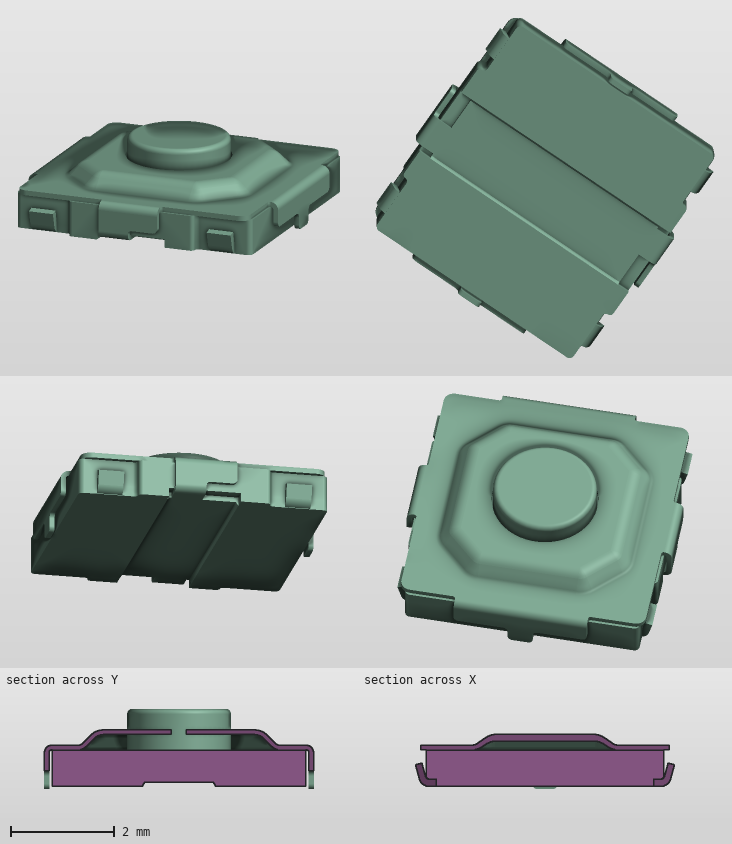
import cadquery as cq
import math


S45 = math.sqrt(0.5)

span = 5.2
sheet = 0.1
bend_radius = 0.15

base_half = 2.45
base_height = 0.7
end_wall_half = 2.3
step_x = 1.3
base_corner_radius = 0.1

groove_half = 0.66
groove_height = 0.075
notch_half = 0.705
notch_end = 2.2

plate_half = 2.4
plate_corner_radius = 0.2
dome_flat_half = 1.47
dome_flat_side_half = 0.965
dome_rise = 0.295
dome_top_radius = 0.31
dome_root_radius = 0.105

leg_edge_height = 0.3
leg_corner_radius = 0.1
side_leg_half = 1.305
side_tab_half = 0.245
side_tab_drop = 0.05
end_leg_half = 0.61

button_diameter = 2.0
button_hole_diameter = 2.06
button_fillet = 0.1
button_top = 1.5

terminal_x = 1.85
terminal_width = 0.5
terminal_sheet = 0.135
terminal_radius = 0.2
terminal_lean = math.radians(15)
terminal_tip_y = 2.5
terminal_tip_z = 0.42
terminal_tail_y = 2.1

leg_outer = span / 2
leg_inner = leg_outer - sheet
bend_start = leg_outer - bend_radius
bend_inner_radius = bend_radius - sheet
plate_top = base_height + sheet
dome_top = plate_top + dome_rise
foot_top = groove_height + sheet


def arc_point(center, radius, degrees):
    """Point on a circle, used for arc ends and midpoints."""
    angle = math.radians(degrees)
    return (center[0] + radius * math.cos(angle), center[1] + radius * math.sin(angle))


def base_outline_quarter():
    """Front-right quarter of the base, with the S-step and the rounded corner."""
    step_radius = (base_half - end_wall_half) / 2
    step_mid = (base_half + end_wall_half) / 2
    outer_center = (step_x - step_radius, -step_mid)
    inner_center = (step_x + step_radius, -step_mid)
    corner_center = (base_half - base_corner_radius, -end_wall_half + base_corner_radius)
    return (
        cq.Workplane("XY")
        .moveTo(0, 0)
        .lineTo(0, -base_half)
        .lineTo(outer_center[0], -base_half)
        .threePointArc(arc_point(outer_center, step_radius, -45), (step_x, -step_mid))
        .threePointArc(arc_point(inner_center, step_radius, 135), (inner_center[0], -end_wall_half))
        .lineTo(corner_center[0], -end_wall_half)
        .threePointArc(arc_point(corner_center, base_corner_radius, -45), (base_half, corner_center[1]))
        .lineTo(base_half, 0)
        .close()
    )


def make_base(terminals):
    quarter = base_outline_quarter().extrude(base_height)
    half = quarter.union(quarter.mirror("YZ"))
    base = half.union(half.mirror("XZ"))
    groove = (
        cq.Workplane("XZ")
        .polyline([
            (-notch_half, 0),
            (notch_half, 0),
            (groove_half, groove_height),
            (-groove_half, groove_height),
        ])
        .close()
        .extrude(base_half, both=True)
    )
    base = base.cut(groove)
    notch_depth = base_half - notch_end
    for side in (-1, 1):
        notch = cq.Workplane("XY").box(2 * notch_half, notch_depth, foot_top, centered=(True, True, False))
        base = base.cut(notch.translate((0, side * (notch_end + notch_depth / 2), 0)))
    for terminal in terminals:
        base = base.cut(terminal)
    return base


slope_run = dome_rise - (dome_top_radius + dome_root_radius) * (1 - S45)
dome_spread = (dome_top_radius + dome_root_radius) * S45 + slope_run


def dome_profile(start):
    """Section of the dome wall, from the flat top at x = start outward to the dome foot."""
    top_center = (start, dome_top - dome_top_radius)
    root_center = (start + dome_spread, plate_top + dome_root_radius)
    top_inner_radius = dome_top_radius - sheet
    root_inner_radius = dome_root_radius + sheet
    return (
        cq.Workplane("XZ")
        .moveTo(start, dome_top)
        .threePointArc(
            arc_point(top_center, dome_top_radius, 67.5), arc_point(top_center, dome_top_radius, 45)
        )
        .lineTo(*arc_point(root_center, dome_root_radius, 225))
        .threePointArc(arc_point(root_center, dome_root_radius, 247.5), (root_center[0], plate_top))
        .lineTo(root_center[0], base_height)
        .threePointArc(
            arc_point(root_center, root_inner_radius, 247.5), arc_point(root_center, root_inner_radius, 225)
        )
        .lineTo(*arc_point(top_center, top_inner_radius, 45))
        .threePointArc(arc_point(top_center, top_inner_radius, 67.5), (start, dome_top - sheet))
        .close()
    )


def dome_octagon(z):
    """Outline of the flat dome top."""
    a, b = dome_flat_half, dome_flat_side_half
    points = [(a, -b), (a, b), (b, a), (-b, a), (-a, b), (-a, -b), (-b, -a), (b, -a)]
    return cq.Workplane("XY").workplane(offset=z).polyline(points).close()


def make_dome():
    """Flat octagonal top, eight sloping walls and eight round corners between them."""
    dome = dome_octagon(dome_top - sheet).extrude(sheet)
    long_side = (dome_flat_half, dome_flat_side_half)
    short_side = ((dome_flat_half + dome_flat_side_half) * S45, (dome_flat_half - dome_flat_side_half) * S45)
    for index in range(8):
        distance, half_length = short_side if index % 2 else long_side
        wall = dome_profile(distance).extrude(half_length, both=True)
        corner = dome_profile(0).revolve(45, (0, 0), (0, 1)).translate((distance, half_length, 0))
        for piece in (wall, corner):
            dome = dome.union(piece.rotate((0, 0, 0), (0, 0, 1), 45 * index))
    return dome


def neck(half_width):
    """Front plate extension that carries a leg, with fillets into the plate edge."""
    fillet = bend_start - plate_half
    root = half_width + fillet
    return (
        cq.Workplane("XY")
        .workplane(offset=base_height)
        .moveTo(-root, -plate_half)
        .threePointArc(arc_point((-root, -bend_start), fillet, 45), (-half_width, -bend_start))
        .lineTo(half_width, -bend_start)
        .threePointArc(arc_point((root, -bend_start), fillet, 135), (root, -plate_half))
        .close()
        .extrude(sheet)
    )


def upper_bend():
    """Start of a front leg section: the bend from the plate down the outer face."""
    center = (-bend_start, plate_top - bend_radius)
    return (
        cq.Workplane("YZ")
        .moveTo(-bend_start, base_height)
        .lineTo(-bend_start, plate_top)
        .threePointArc(arc_point(center, bend_radius, 135), (-leg_outer, center[1]))
    )


def close_at_upper_bend(section):
    """Finish a leg section up its inner face and around the inside of the bend."""
    center = (-bend_start, plate_top - bend_radius)
    return (
        section.lineTo(-leg_inner, center[1])
        .threePointArc(arc_point(center, bend_inner_radius, 135), (-bend_start, base_height))
        .close()
    )


def side_leg():
    """Straight leg with a narrow centre tab, built at the front."""
    section = upper_bend().lineTo(-leg_outer, -side_tab_drop).lineTo(-leg_inner, -side_tab_drop)
    strip = close_at_upper_bend(section).extrude(side_leg_half, both=True)
    r = leg_corner_radius
    tip_center = (side_tab_half - r, r - side_tab_drop)
    root_center = (side_tab_half + r, leg_edge_height - r)
    corner_center = (side_leg_half - r, leg_edge_height + r)
    half_outline = (
        cq.Workplane("XZ")
        .moveTo(0, plate_top)
        .lineTo(0, -side_tab_drop)
        .lineTo(tip_center[0], -side_tab_drop)
        .threePointArc(arc_point(tip_center, r, -45), (side_tab_half, tip_center[1]))
        .lineTo(side_tab_half, root_center[1])
        .threePointArc(arc_point(root_center, r, 135), (root_center[0], leg_edge_height))
        .lineTo(corner_center[0], leg_edge_height)
        .threePointArc(arc_point(corner_center, r, -45), (side_leg_half, corner_center[1]))
        .lineTo(side_leg_half, plate_top)
        .close()
        .extrude(leg_outer)
    )
    outline = half_outline.union(half_outline.mirror("YZ"))
    return strip.intersect(outline)


def end_leg():
    """Front leg whose -X half bends under into a foot that reaches into the base notch."""
    foot_center = (-bend_start, groove_height + bend_radius)
    section = (
        upper_bend()
        .lineTo(-leg_outer, foot_center[1])
        .threePointArc(arc_point(foot_center, bend_radius, 225), (-bend_start, groove_height))
        .lineTo(-notch_end, groove_height)
        .lineTo(-notch_end, foot_top)
        .lineTo(-bend_start, foot_top)
        .threePointArc(arc_point(foot_center, bend_inner_radius, 225), (-leg_inner, foot_center[1]))
    )
    strip = close_at_upper_bend(section).extrude(end_leg_half, both=True)
    root_radius = leg_edge_height - foot_center[1]
    root_center = (root_radius, foot_center[1])
    corner_center = (end_leg_half - leg_corner_radius, leg_edge_height + leg_corner_radius)
    outline = (
        cq.Workplane("XZ")
        .moveTo(-end_leg_half, plate_top)
        .lineTo(-end_leg_half, 0)
        .lineTo(0, 0)
        .lineTo(0, root_center[1])
        .threePointArc(arc_point(root_center, root_radius, 135), (root_radius, leg_edge_height))
        .lineTo(corner_center[0], leg_edge_height)
        .threePointArc(arc_point(corner_center, leg_corner_radius, -45), (end_leg_half, corner_center[1]))
        .lineTo(end_leg_half, plate_top)
        .close()
        .extrude(leg_outer)
    )
    return strip.intersect(outline)


def make_cover():
    dome_opening = dome_octagon(base_height).offset2D(dome_spread, "arc").extrude(sheet)
    cover = (
        cq.Workplane("XY")
        .workplane(offset=base_height)
        .rect(2 * plate_half, 2 * plate_half)
        .extrude(sheet)
        .edges("|Z")
        .fillet(plate_corner_radius)
        .cut(dome_opening)
        .union(make_dome())
    )
    end_leg_piece = neck(end_leg_half).union(end_leg())
    side_leg_piece = neck(side_leg_half).union(side_leg())
    for angle in (0, 180):
        cover = cover.union(end_leg_piece.rotate((0, 0, 0), (0, 0, 1), angle))
        cover = cover.union(side_leg_piece.rotate((0, 0, 0), (0, 0, 1), angle + 90))
    button_hole = cq.Workplane("XY").circle(button_hole_diameter / 2).extrude(dome_top)
    return cover.cut(button_hole)


def make_button():
    """Round plunger standing on the base and rising through the dome."""
    return (
        cq.Workplane("XY")
        .workplane(offset=base_height)
        .circle(button_diameter / 2)
        .extrude(button_top - base_height)
        .faces(">Z")
        .edges()
        .fillet(button_fillet)
    )


def make_terminal(x, quarter_turns):
    """Bent strip: a flat foot inside the base, then an arm that leans outward."""
    up = (-math.sin(terminal_lean), math.cos(terminal_lean))
    outward = (-math.cos(terminal_lean), -math.sin(terminal_lean))
    outer_tip = (-terminal_tip_y, terminal_tip_z)
    inner_tip = (outer_tip[0] - outward[0] * terminal_sheet, outer_tip[1] - outward[1] * terminal_sheet)
    arm_length = (terminal_tip_z - terminal_radius * (1 - math.sin(terminal_lean))) / up[1]
    center = (outer_tip[0] - up[0] * arm_length - outward[0] * terminal_radius, terminal_radius)
    inner_radius = terminal_radius - terminal_sheet
    bend_end = 180 + math.degrees(terminal_lean)
    bend_mid = (bend_end + 270) / 2
    terminal = (
        cq.Workplane("YZ")
        .moveTo(-terminal_tail_y, 0)
        .lineTo(center[0], 0)
        .threePointArc(
            arc_point(center, terminal_radius, bend_mid), arc_point(center, terminal_radius, bend_end)
        )
        .lineTo(*outer_tip)
        .lineTo(*inner_tip)
        .lineTo(*arc_point(center, inner_radius, bend_end))
        .threePointArc(arc_point(center, inner_radius, bend_mid), (center[0], terminal_sheet))
        .lineTo(-terminal_tail_y, terminal_sheet)
        .close()
        .extrude(terminal_width / 2, both=True)
    )
    return terminal.translate((x, 0, 0)).rotate((0, 0, 0), (0, 0, 1), 90 * quarter_turns)


terminals = [make_terminal(x, turns) for turns in (0, 2) for x in (-terminal_x, terminal_x)]
base = make_base(terminals)
cover = make_cover()
button = make_button()

result = cq.Compound.makeCompound([
    base.solids().val(),
    cover.solids().val(),
    button.solids().val(),
    *[terminal.solids().val() for terminal in terminals],
])